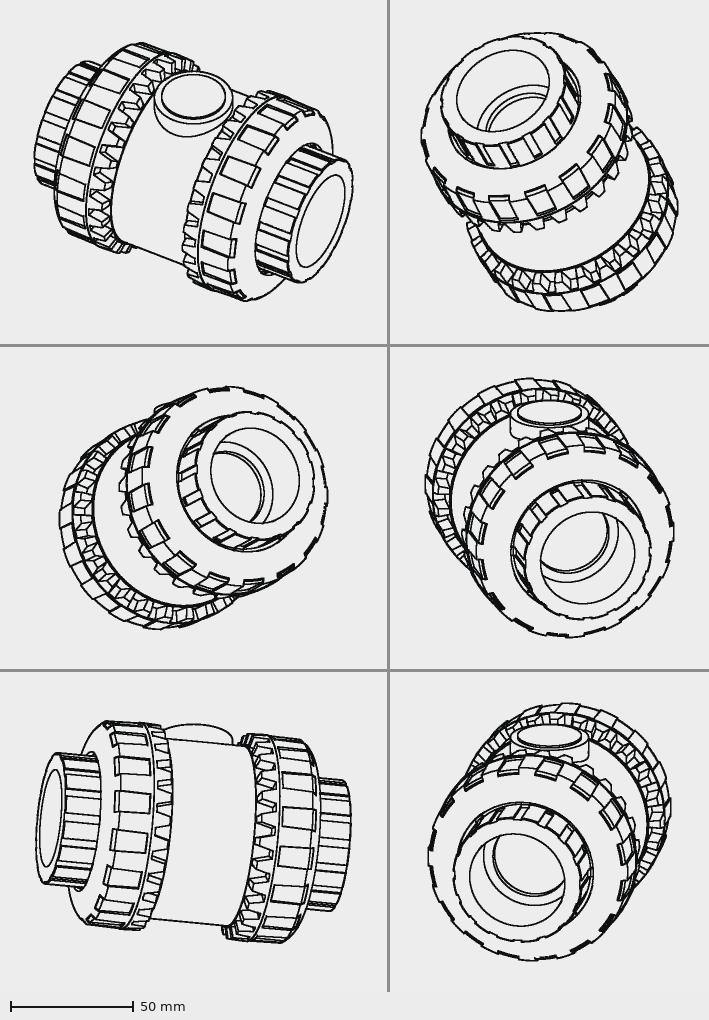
import cadquery as cq
import math

connector_end = 60.0
nut_outer_face = 45.6
flange_outer_face = 43.2
housing_end = 31.2
collar_inner_edge = 17.5
collar_outer_edge = 26.4

body_radius = 74.0 / 2
collar_radius = 37.7
thread_radius = 67.3 / 2
flow_radius = 32.0 / 2

boss_radius = 32.0 / 2
boss_top = 41.2
plate_radius = 26.2 / 2
plate_top = 42.0
plate_thickness = 1.8

connector_radius = 54.0 / 2
socket_radius = 40.0 / 2
socket_depth = 25.8
connector_chamfer = 0.4
groove_count = 16
groove_width = 3.5
groove_floor_radius = 26.2
key_count = 8
groove_end = 45.0
key_face_radius = 27.5

nut_opening_radius = 57.4 / 2
nut_face_radius = 32.0
nut_round_end = 40.3
nut_round_radius = 41.9
nut_grip_radius = 42.2
nut_ridge_radius = 85.1 / 2
nut_skirt_radius = 42.2
skirt_outer_end = 19.1
skirt_inner_end = 18.0

recess_count = 16
recess_outer_end = 42.2
recess_inner_end = 27.8
recess_slope_end = 40.7
recess_start_radius = 39.7
recess_floor_radius = 41.2
recess_outer_width = 8.9
recess_inner_width = 8.2

gap_count = 27
first_gap_angle = 90.0
gap_base = 25.0
gap_base_width = 3.4
gap_mouth = 19.1
gap_mouth_width = 6.5
gap_taper = 5.0

clear = 2.4


def revolve_about_x(sketch):
    """Revolve an XY profile, with Y as the radius, about the X axis."""
    return sketch.close().revolve(360, (0, 0, 0), (1, 0, 0))


def cylinder_along_x(radius, start, end):
    return cq.Workplane("YZ", origin=(start, 0, 0)).circle(radius).extrude(end - start)


def ring_copies(shape, count, first_angle=0.0):
    """Copies of a shape spaced evenly about the X axis; the angle turns from +Z towards -Y."""
    step = 360.0 / count
    return [shape.rotate((0, 0, 0), (1, 0, 0), first_angle + index * step) for index in range(count)]


def ring_cut(shape, tool, count, first_angle=0.0):
    """Cut copies of a tool, spaced evenly about the X axis."""
    for copy in ring_copies(tool, count, first_angle):
        shape = shape.cut(copy)
    return shape


def make_housing():
    half_profile = [
        (-housing_end, 0),
        (-housing_end, thread_radius),
        (-collar_outer_edge, thread_radius),
        (-collar_outer_edge, collar_radius),
        (-collar_inner_edge, collar_radius),
        (-collar_inner_edge, body_radius),
    ]
    mirrored_profile = [(-x, radius) for x, radius in reversed(half_profile)]
    shell = revolve_about_x(cq.Workplane("XY").polyline(half_profile + mirrored_profile))
    boss = cq.Workplane("XY").circle(boss_radius).extrude(boss_top)
    passage = cylinder_along_x(flow_radius, -housing_end, housing_end)
    return shell.union(boss).cut(make_plate()).cut(passage)


def make_plate():
    plate_bottom = plate_top - plate_thickness
    return cq.Workplane("XY", origin=(0, 0, plate_bottom)).circle(plate_radius).extrude(plate_thickness)


def make_key():
    """One key at the end of a groove: a flat front face with a 45 degree slope up to the nut opening."""
    slope_rise = nut_opening_radius - key_face_radius
    bar = (
        cq.Workplane("XZ")
        .polyline([
            (-groove_end, groove_floor_radius),
            (-groove_end, key_face_radius),
            (-groove_end + slope_rise, nut_opening_radius),
            (-flange_outer_face, nut_opening_radius),
            (-flange_outer_face, groove_floor_radius),
        ])
        .close()
        .extrude(groove_width / 2, both=True)
    )
    return bar.intersect(cylinder_along_x(nut_opening_radius, -groove_end, -flange_outer_face))


def make_connector():
    tube = cylinder_along_x(connector_radius, -connector_end, -flange_outer_face)
    tube = tube.faces("<X").chamfer(connector_chamfer)
    groove = (
        cq.Workplane("XY")
        .box(connector_end - groove_end, groove_width, clear, centered=(False, True, False))
        .translate((-connector_end, 0, groove_floor_radius))
    )
    connector = ring_cut(tube, groove, groove_count)
    connector = connector.union(cylinder_along_x(thread_radius, -flange_outer_face, -housing_end))
    for key in ring_copies(make_key(), key_count):
        connector = connector.union(key)
    socket = cylinder_along_x(socket_radius, -connector_end, -connector_end + socket_depth)
    passage = cylinder_along_x(flow_radius, -connector_end, -housing_end)
    return connector.cut(socket).cut(passage)


def make_nut_blank():
    round_length = nut_outer_face - nut_round_end
    round_rise = nut_round_radius - nut_face_radius
    arc_radius = (round_length**2 + round_rise**2) / (2 * round_length)
    half_angle = math.asin(round_rise / arc_radius) / 2
    arc_middle = (
        -nut_outer_face + arc_radius * (1 - math.cos(half_angle)),
        nut_face_radius + arc_radius * math.sin(half_angle),
    )
    return revolve_about_x(
        cq.Workplane("XY")
        .moveTo(-nut_outer_face, nut_opening_radius)
        .lineTo(-nut_outer_face, nut_face_radius)
        .threePointArc(arc_middle, (-nut_round_end, nut_round_radius))
        .lineTo(-collar_outer_edge, nut_grip_radius)
        .lineTo(-collar_outer_edge, nut_ridge_radius)
        .lineTo(-skirt_outer_end, nut_skirt_radius)
        .lineTo(-skirt_inner_end, collar_radius)
        .lineTo(-collar_outer_edge, collar_radius)
        .lineTo(-collar_outer_edge, thread_radius)
        .lineTo(-flange_outer_face, thread_radius)
        .lineTo(-flange_outer_face, nut_opening_radius)
    )


def make_grip_recess():
    """Cutter for one grip recess: a ring over the recess floor, trimmed to its tapered width."""
    outside = nut_ridge_radius + clear
    ring = revolve_about_x(
        cq.Workplane("XY").polyline([
            (-recess_outer_end, recess_start_radius),
            (-recess_slope_end, recess_floor_radius),
            (-recess_inner_end, recess_floor_radius),
            (-recess_inner_end, outside),
            (-recess_outer_end, outside),
        ])
    )
    window = (
        cq.Workplane("XY")
        .polyline([
            (-recess_outer_end, -recess_outer_width / 2),
            (-recess_inner_end, -recess_inner_width / 2),
            (-recess_inner_end, recess_inner_width / 2),
            (-recess_outer_end, recess_outer_width / 2),
        ])
        .close()
        .extrude(outside)
    )
    return ring.intersect(window)


def make_crown_gap():
    """Cutter for one crown gap: it widens towards the skirt end and narrows inwards."""
    gap_depth = nut_ridge_radius - collar_radius + clear
    half_base = gap_base_width / 2
    half_mouth = gap_mouth_width / 2
    flank_slope = (half_mouth - half_base) / (gap_base - gap_mouth)
    half_open = half_mouth + flank_slope * clear
    return (
        cq.Workplane("XY", origin=(0, 0, nut_ridge_radius))
        .polyline([
            (-gap_base, half_base),
            (-gap_base, -half_base),
            (-gap_mouth + clear, -half_open),
            (-gap_mouth + clear, half_open),
        ])
        .close()
        .extrude(-gap_depth, taper=gap_taper)
    )


def make_nut():
    nut = ring_cut(make_nut_blank(), make_grip_recess(), recess_count, 180.0 / recess_count)
    return ring_cut(nut, make_crown_gap(), gap_count, first_gap_angle)


housing = make_housing()
plate = make_plate()
connector = make_connector()
nut = make_nut()

end_bodies = []
for end_body in (connector, nut):
    end_bodies.append(end_body.val())
    end_bodies.append(end_body.rotate((0, 0, 0), (0, 0, 1), 180).val())

result = cq.Compound.makeCompound([housing.val(), plate.val(), *end_bodies])